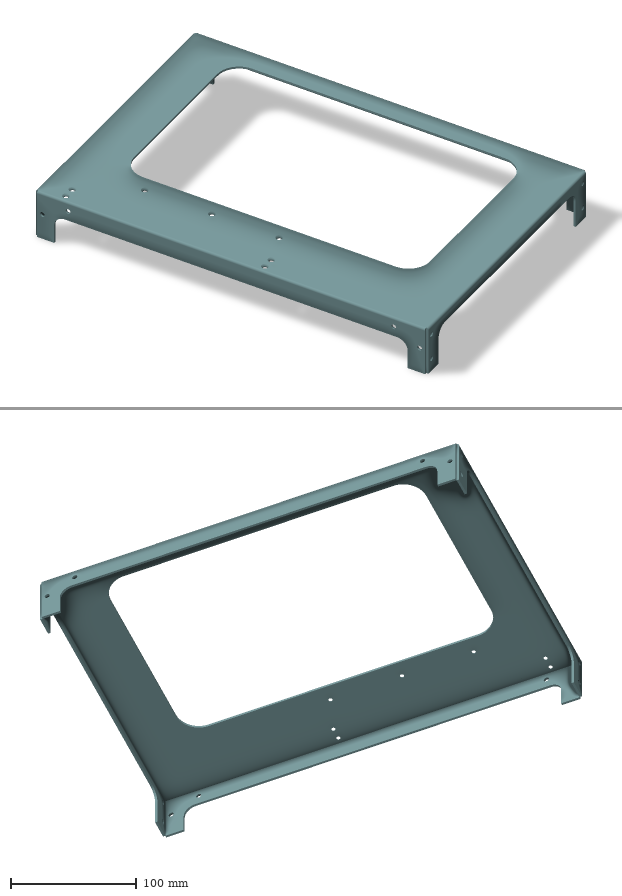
import cadquery as cq

length = 365.0
width = 250.0
height = 45.0

sheet = 2.0
bend_inner_radius = 0.01
bend_outer_radius = bend_inner_radius + sheet

leg_width = 18.0
long_flange_depth = 18.0
short_flange_depth = 10.0
leg_radius = 10.0

window_length = 275.0
window_width = 170.0
window_radius = 20.0
window_center_y = 20.0

flange_hole_diameter = 4.4
leg_hole_inset = 7.0
upper_hole_drop = 9.0
long_leg_hole_drop = 21.0
short_leg_hole_drop = 33.0
long_upper_hole_x = 151.5

screw_diameter = 3.4
countersink_diameter = 6.3
countersink_angle = 90.0

row_center_x = -45.0
row_y = -79.0
row_pitch = 62.5

pairs_center_x = -65.0
pairs_center_y = -113.0
pairs_spacing_x = 185.0
pairs_spacing_y = 10.0


def channel(span, depth, across):
    """Inverted U of folded sheet standing on Z = 0, spanning X, or spanning Y when `across` is true."""
    outer = (
        cq.Workplane("XY").box(span, depth, height, centered=(True, True, False))
        .edges("|Y and >Z").fillet(bend_outer_radius)
    )
    inner = (
        cq.Workplane("XY").box(span - 2 * sheet, depth, height - sheet, centered=(True, True, False))
        .edges("|Y and >Z").fillet(bend_inner_radius)
    )
    folded = outer.cut(inner)
    return folded.rotate((0, 0, 0), (0, 0, 1), 90) if across else folded


def folded_sheet():
    """Top panel with four flanges that stop at the bend lines, leaving a square notch at each corner."""
    panel_length = length - 2 * bend_outer_radius
    panel_width = width - 2 * bend_outer_radius
    short_flanges = channel(length, panel_width, across=False)
    long_flanges = channel(width, panel_length, across=True)
    return short_flanges.union(long_flanges)


def leg_cutter(plane, flange_length, flange_depth):
    """Opening between two legs, rounded at its upper corners, through both opposite flanges."""
    opening_width = flange_length - 2 * leg_width
    opening_height = height - flange_depth
    run_axis = "|Y" if plane == "XZ" else "|X"
    return (
        cq.Workplane(plane, origin=(0, 0, opening_height / 2))
        .rect(opening_width, opening_height)
        .extrude(length, both=True)
        .edges(f"{run_axis} and >Z").fillet(leg_radius)
    )


def flange_hole_cutter(plane, offset, drop):
    """Mirrored pair of round holes through both opposite flanges."""
    hole_z = height - drop
    return (
        cq.Workplane(plane)
        .pushPoints([(-offset, hole_z), (offset, hole_z)])
        .circle(flange_hole_diameter / 2)
        .extrude(length, both=True)
    )


def window_cutter():
    """Rounded rectangular opening through the top panel."""
    return (
        cq.Workplane("XY", origin=(0, window_center_y, height - 2 * sheet))
        .rect(window_length, window_width)
        .extrude(3 * sheet)
        .edges("|Z").fillet(window_radius)
    )


def add_panel_holes(body):
    """Countersunk screw holes: a row of three beside the window and two pairs near the -Y edge."""
    row = [(row_center_x + step * row_pitch, row_y) for step in (-1, 0, 1)]
    pairs = [
        (pairs_center_x + side_x * pairs_spacing_x / 2, pairs_center_y + side_y * pairs_spacing_y / 2)
        for side_x in (-1, 1)
        for side_y in (-1, 1)
    ]
    return (
        body.faces(">Z").workplane(origin=(0, 0, height))
        .pushPoints(row + pairs)
        .cskHole(screw_diameter, countersink_diameter, countersink_angle, depth=2 * sheet)
    )


cover = folded_sheet()
cover = cover.cut(leg_cutter("XZ", length, long_flange_depth))
cover = cover.cut(leg_cutter("YZ", width, short_flange_depth))
cover = cover.cut(window_cutter())
cover = cover.cut(flange_hole_cutter("XZ", long_upper_hole_x, upper_hole_drop))
cover = cover.cut(flange_hole_cutter("XZ", length / 2 - leg_hole_inset, long_leg_hole_drop))
cover = cover.cut(flange_hole_cutter("YZ", width / 2 - leg_hole_inset, upper_hole_drop))
cover = cover.cut(flange_hole_cutter("YZ", width / 2 - leg_hole_inset, short_leg_hole_drop))
result = add_panel_holes(cover)